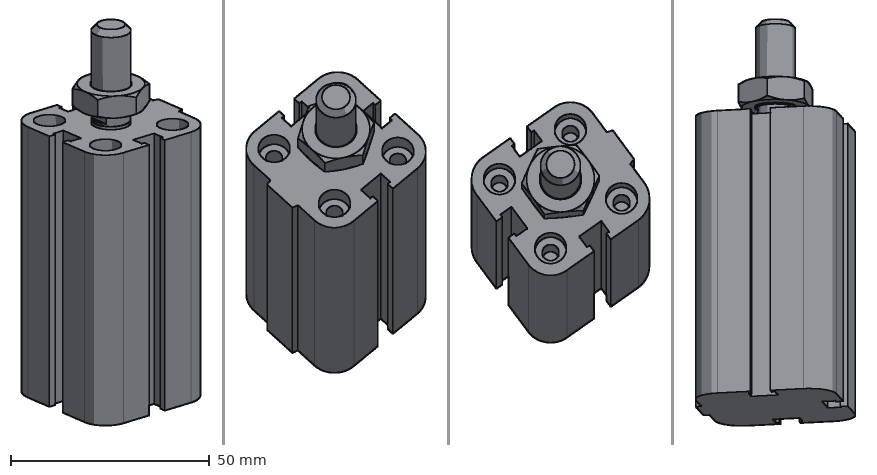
import cadquery as cq
import math

HOUSING_WIDTH = 36.0
HOUSING_HEIGHT = 73.0
CORNER_RADIUS = 7.0
RAIL_HEIGHT = 1.5
RAIL_BASE_WIDTH = 10.0
RAIL_TOP_WIDTH = 9.3

SLOT_MOUTH_WIDTH = 5.2
SLOT_INNER_WIDTH = 6.9
SLOT_DEPTH = 5.3
SLOT_LIP = 1.9
SLOT_ANGLES = (-90, 0, 180)

HOLE_PITCH = 22.0
COUNTERBORE_DIAMETER = 8.0
COUNTERBORE_DEPTH = 4.8
SCREW_HOLE_DIAMETER = 4.2
SCREW_HOLE_DEPTH = 12.5

TOTAL_HEIGHT = 99.5
ROD_DIAMETER = 10.0
TIP_CHAMFER_HEIGHT = 1.6
TIP_CHAMFER_WIDTH = 1.5
COLLAR_HEIGHT = 0.8
NECK_DIAMETER = 9.8
NECK_HEIGHT = 3.4
FLAT_START = 1.4
FLATS_WIDTH = 7.9

NUT_SIDES = 6
NUT_ACROSS_FLATS = 17.0
NUT_HEIGHT = 6.0
NUT_BOTTOM = 77.5
NUT_CHAMFER_ANGLE = 30
NUT_BORE_CHAMFER = 0.25

HALF_WIDTH = HOUSING_WIDTH / 2
NUT_TOP = NUT_BOTTOM + NUT_HEIGHT


def make_rail():
    """Tapered rail along the +Y side, over the full housing height."""
    return (
        cq.Workplane("XY")
        .polyline([
            (-RAIL_BASE_WIDTH / 2, HALF_WIDTH),
            (RAIL_BASE_WIDTH / 2, HALF_WIDTH),
            (RAIL_TOP_WIDTH / 2, HALF_WIDTH + RAIL_HEIGHT),
            (-RAIL_TOP_WIDTH / 2, HALF_WIDTH + RAIL_HEIGHT),
        ])
        .close()
        .extrude(HOUSING_HEIGHT)
    )


def make_slot(angle):
    """T-slot cutter for the +X side, turned about Z to the side at the given angle."""
    cavity_depth = SLOT_DEPTH - SLOT_LIP
    mouth = (
        cq.Workplane("XY")
        .center(HALF_WIDTH - SLOT_DEPTH / 2, 0)
        .rect(SLOT_DEPTH, SLOT_MOUTH_WIDTH)
        .extrude(HOUSING_HEIGHT)
    )
    cavity = (
        cq.Workplane("XY")
        .center(HALF_WIDTH - SLOT_LIP - cavity_depth / 2, 0)
        .rect(cavity_depth, SLOT_INNER_WIDTH)
        .extrude(HOUSING_HEIGHT)
    )
    return mouth.union(cavity).rotate((0, 0, 0), (0, 0, 1), angle)


def make_housing():
    body = (
        cq.Workplane("XY")
        .rect(HOUSING_WIDTH, HOUSING_WIDTH)
        .extrude(HOUSING_HEIGHT)
        .edges("|Z")
        .fillet(CORNER_RADIUS)
        .union(make_rail())
    )
    for angle in SLOT_ANGLES:
        body = body.cut(make_slot(angle))
    return (
        body.faces(">Z")
        .workplane(origin=(0, 0, HOUSING_HEIGHT))
        .rect(HOLE_PITCH, HOLE_PITCH, forConstruction=True)
        .vertices()
        .cboreHole(SCREW_HOLE_DIAMETER, COUNTERBORE_DIAMETER, COUNTERBORE_DEPTH, SCREW_HOLE_DEPTH)
    )


def make_rod():
    """Rod standing on the housing top, with two wrench flats that end at the nut."""
    rod_length = TOTAL_HEIGHT - HOUSING_HEIGHT
    flat_height = NUT_BOTTOM - HOUSING_HEIGHT - FLAT_START
    rod = (
        cq.Workplane("XY", origin=(0, 0, HOUSING_HEIGHT))
        .circle(ROD_DIAMETER / 2)
        .extrude(rod_length)
        .faces(">Z")
        .chamfer(TIP_CHAMFER_HEIGHT, TIP_CHAMFER_WIDTH)
    )
    neck_groove = (
        cq.Workplane("XY", origin=(0, 0, HOUSING_HEIGHT + COLLAR_HEIGHT))
        .circle(ROD_DIAMETER / 2)
        .circle(NECK_DIAMETER / 2)
        .extrude(NECK_HEIGHT)
    )
    flats = (
        cq.Workplane("XY", origin=(0, 0, HOUSING_HEIGHT + FLAT_START))
        .rect(2 * ROD_DIAMETER, 2 * ROD_DIAMETER)
        .rect(2 * ROD_DIAMETER, FLATS_WIDTH)
        .extrude(flat_height)
    )
    return rod.cut(neck_groove).cut(flats)


def make_nut():
    """Hexagon nut with corners along X and chamfered ends, inside and out."""
    flat_radius = NUT_ACROSS_FLATS / 2
    corner_radius = flat_radius / math.cos(math.pi / NUT_SIDES)
    chamfer_drop = (corner_radius - flat_radius) * math.tan(math.radians(NUT_CHAMFER_ANGLE))
    hexagon = (
        cq.Workplane("XY", origin=(0, 0, NUT_BOTTOM))
        .polygon(NUT_SIDES, 2 * corner_radius)
        .circle(ROD_DIAMETER / 2)
        .extrude(NUT_HEIGHT)
    )
    chamfered_envelope = (
        cq.Workplane("XZ")
        .polyline([
            (0, NUT_BOTTOM),
            (flat_radius, NUT_BOTTOM),
            (corner_radius, NUT_BOTTOM + chamfer_drop),
            (corner_radius, NUT_TOP - chamfer_drop),
            (flat_radius, NUT_TOP),
            (0, NUT_TOP),
        ])
        .close()
        .revolve()
    )
    blank = hexagon.intersect(chamfered_envelope)
    return blank.edges(cq.selectors.RadiusNthSelector(0)).chamfer(NUT_BORE_CHAMFER)


housing = make_housing()
rod = make_rod()
nut = make_nut()

result = cq.Compound.makeCompound([housing.val(), rod.val(), nut.val()])